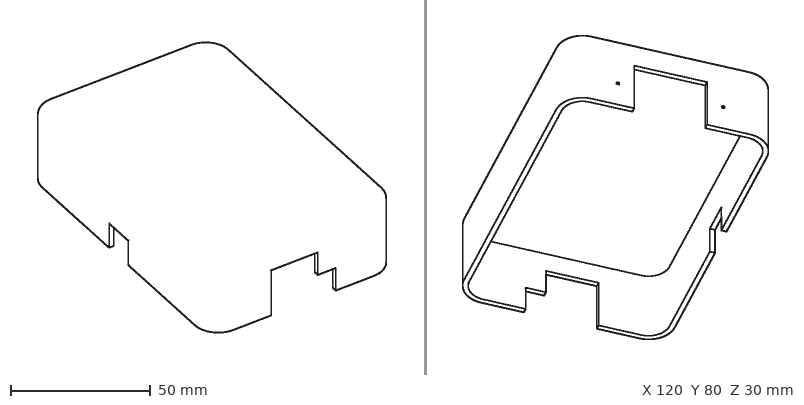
import cadquery as cq

length = 120.0
width = length * 2 / 3
height = length / 4
corner_radius = length / 12
top_fillet = 1.5
wall = 2.0

end_opening_width = 27.6
end_opening_height = height * 2 / 3
step_y = 6.1
step_height = height / 3

notch_width = 12.5
notch_height = 10.8

hole_diameter = 1.0
hole_spacing = width / 2
hole_height = height / 3

cut_depth = 2 * wall


def rounded_block(block_length, block_width, block_height, radius):
    """Block standing on Z = 0 with rounded vertical edges."""
    block = cq.Workplane("XY").box(block_length, block_width, block_height, centered=(True, True, False))
    return block.edges("|Z").fillet(radius)


def end_cutter(end_x, y_min, y_max, cut_height):
    """Box that opens an end wall from the bottom edge up to cut_height."""
    cutter = cq.Workplane("XY").box(2 * cut_depth, y_max - y_min, cut_height, centered=(True, False, False))
    return cutter.translate((end_x, y_min, 0))


outer = rounded_block(length, width, height, corner_radius).faces(">Z").edges().fillet(top_fillet)
cavity = rounded_block(length - 2 * wall, width - 2 * wall, height - wall, corner_radius - wall)
result = outer.cut(cavity)

half_opening = end_opening_width / 2
result = result.cut(end_cutter(-length / 2, -half_opening, half_opening, end_opening_height))

result = result.cut(end_cutter(length / 2, -half_opening, step_y, end_opening_height))
result = result.cut(end_cutter(length / 2, step_y, half_opening, step_height))

notch = cq.Workplane("XY").box(notch_width, 2 * cut_depth, notch_height, centered=(True, True, False))
result = result.cut(notch.translate((0, -width / 2, 0)))

holes = (
    cq.Workplane("YZ", origin=(-length / 2, 0, 0))
    .pushPoints([(side * hole_spacing / 2, hole_height) for side in (-1, 1)])
    .circle(hole_diameter / 2)
    .extrude(cut_depth)
)
result = result.cut(holes)